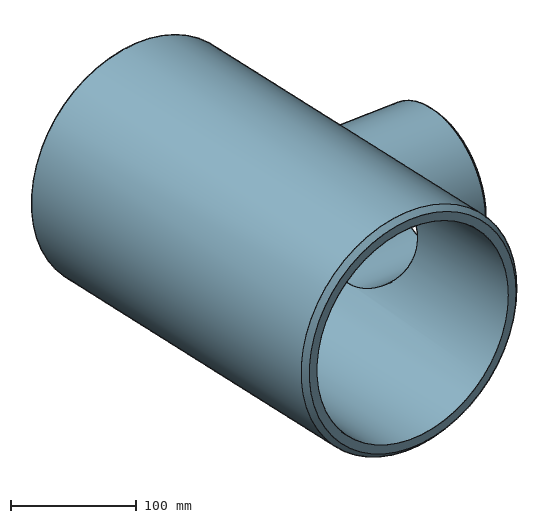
import cadquery as cq

run_length = 355.5
run_diameter = 219.0
run_bore = 194.0
run_chamfer = 4.5

branch_diameter = 141.0
branch_bore = 122.5
branch_reach = 162.0
branch_chamfer = 3.5


def run_cylinder(diameter):
    """Full-length cylinder along X, centred on the origin."""
    return cq.Workplane("YZ").circle(diameter / 2).extrude(run_length / 2, both=True)


def branch_cylinder(diameter):
    """Cylinder along +Y from the run axis to the branch end face."""
    return cq.Workplane("XZ").circle(diameter / 2).extrude(-branch_reach)


run_body = run_cylinder(run_diameter).faces("<X or >X").chamfer(run_chamfer)
branch_body = branch_cylinder(branch_diameter).faces(">Y").chamfer(branch_chamfer)

result = (
    run_body.union(branch_body)
    .cut(run_cylinder(run_bore))
    .cut(branch_cylinder(branch_bore))
)